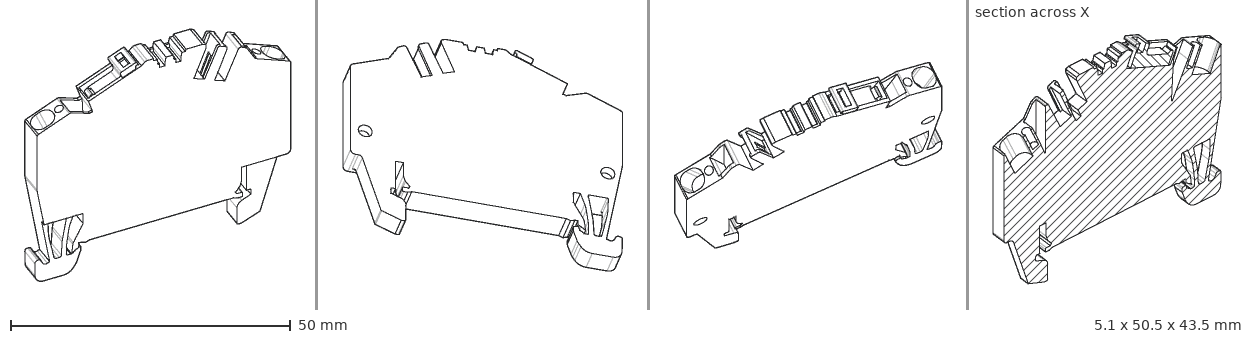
import cadquery as cq
import math

width = 5.1
foot_width = 4.15
half_length = 25.25
shelf_z = 13.3
base_z = 6.95
tooth_z = 42.75
comb_floor_z = 41.65
crown_z = 43.25
end_top_z = 33.55
end_chamfer_y = 25.0
end_chamfer_z = 33.85
corner = 0.25
clearance = 1.0


def rounded_outline(points):
    """Closed YZ outline from (y, z) corners; a third entry is the rounding radius of that corner."""
    sides = []
    count = len(points)
    for i, point in enumerate(points):
        here = cq.Vector(point[0], point[1])
        radius = point[2] if len(point) == 3 else 0
        if radius == 0:
            sides.append((here, here, here))
            continue
        before = cq.Vector(*points[i - 1][:2])
        after = cq.Vector(*points[(i + 1) % count][:2])
        to_before = (before - here).normalized()
        to_after = (after - here).normalized()
        half_angle = to_before.getAngle(to_after) / 2
        setback = radius / math.tan(half_angle)
        bisector = (to_before + to_after).normalized()
        middle = here + bisector * (radius / math.sin(half_angle) - radius)
        sides.append((here + to_before * setback, middle, here + to_after * setback))

    outline = cq.Workplane("YZ").moveTo(*sides[0][2].toTuple()[:2])
    for start, middle, end in sides[1:] + sides[:1]:
        outline = outline.lineTo(*start.toTuple()[:2])
        if (end - start).Length > 0:
            outline = outline.threePointArc(middle.toTuple()[:2], end.toTuple()[:2])
    return outline.close()


def plate(points, x_start, x_end):
    """Solid with the given YZ outline between two X positions."""
    return rounded_outline(points).extrude(x_end - x_start).translate((x_start, 0, 0))


deck_y = -4.5
deck_z = 42.4
deck_end_y = -15.05
deck_end_z = 37.95
deck_angle = math.atan2(deck_z - deck_end_z, deck_y - deck_end_y)


def on_deck(along, above, radius=0):
    """Outline corner at a distance down the deck and a height square to it."""
    y = deck_y - along * math.cos(deck_angle) - above * math.sin(deck_angle)
    z = deck_z - along * math.sin(deck_angle) + above * math.cos(deck_angle)
    return (y, z, radius)


tooth_edges = [(3.6, 3.35, 2.05, 1.8), (0.4, 0.2, -1.15, -1.3)]

front_leg_top_z = 21.2
front_leg_lean = 0.171


def front_leg(z):
    """Point on the leaning outer side of the front leg."""
    return (-half_length + front_leg_lean * (front_leg_top_z - z), z)


end_slope = [
    (half_length, end_top_z), (end_chamfer_y, end_chamfer_z),
    (18.2, 36.6), (16.45, 39.55, 0.75), (15.0, 40.3, 0.5),
]
marker_slots = [
    (12.1, 33.65), (10.1, 34.45),
    (12.75, 41.0, 0.5), (10.85, 41.8, 0.4),
    (8.1, 35.35), (5.95, 36.15),
    (8.4, 42.2), (8.4, 42.9), (7.7, crown_z),
]
comb = [(4.4, crown_z), (4.25, tooth_z)]
for top_left, floor_left, floor_right, top_right in tooth_edges:
    comb += [(top_left, tooth_z), (floor_left, comb_floor_z)]
    comb += [(floor_right, comb_floor_z), (top_right, tooth_z)]
comb += [(-2.05, tooth_z), (-2.05, crown_z), (-3.6, crown_z, 0.75)]
deck = [(deck_y, deck_z), (deck_end_y, deck_end_z)]
front_notch = [(-14.2, 35.4), (-14.85, 35.2), (-18.6, 36.55, 0.75)]
front_end = [
    (-end_chamfer_y, end_chamfer_z), (-half_length, end_top_z),
    (-half_length, front_leg_top_z, 2.5), front_leg(shelf_z),
]
front_hook = [
    (-16.1, shelf_z, corner), (-16.1, 11.05), (-18.15, 7.25, 1.0), (-18.4, 5.0),
    (-17.5, 5.7), (-16.95, 6.0), (-16.95, base_z), (-16.4, base_z), (-15.6, 6.65), (-14.8, base_z),
]
rear_hook = [
    (13.9, base_z), (14.65, 6.65), (15.65, 6.65, corner), (15.65, 7.7, corner),
    (14.5, 7.7), (14.25, 8.1), (15.15, 9.2, 0.75), (15.45, 10.3), (15.45, shelf_z),
]
rear_end = [(23.5, shelf_z), (half_length, shelf_z, 0.9)]

core_outline = (
    end_slope + marker_slots + comb + deck + front_notch + front_end + front_hook + rear_hook + rear_end
)
housing = plate(core_outline, 0, width)

overlap_z = shelf_z + 0.5

rear_foot = [
    (24.2, shelf_z), (23.25, shelf_z, 0.75), (19.6, 1.45, corner), (15.85, 0), (15.0, 0, corner),
    (15.0, 4.7, 1.5), (17.8, 5.85), (17.8, 7.0, corner), (16.85, 7.0), (16.85, shelf_z),
    (16.85, overlap_z), (24.2, overlap_z),
]
front_foot = [
    front_leg(overlap_z), front_leg(3.95), (-23.4, 3.45, 0.7), (-24.15, 5.0, 0.5),
    (-half_length, 5.0, 0.55), (-25.15, 0, 1.65), (-18.3, 0, 2.5), (-16.9, 2.0, 2.5),
    (-16.1, 4.45), (-16.1, 5.4, corner), (-17.05, 5.75, corner), (-17.25, 4.9),
    (-18.15, 4.25), (-18.95, 4.25, corner),
    (-18.95, 6.55, 9.1), (-18.45, 10.35, 6.05), (-17.4, shelf_z), (-17.4, overlap_z),
]
front_foot_window = [
    (-18.85, shelf_z, corner), (-22.6, shelf_z, corner), (-22.5, 9.85, 12.6),
    (-21.35, 4.25, 0.5), (-20.0, 4.25, 0.4), (-19.8, 7.85, 5.05),
]

housing = housing.union(plate(rear_foot, 0, foot_width))
housing = housing.union(plate(front_foot, 0, foot_width))
housing = housing.cut(plate(front_foot_window, 0, foot_width))

side_hole_diameter = 2.6
side_hole_depth = 1.65
side_hole_y = 22.5
side_hole_z = 19.05
side_holes = (
    cq.Workplane("YZ")
    .pushPoints([(side_hole_y, side_hole_z), (-side_hole_y, side_hole_z)])
    .circle(side_hole_diameter / 2)
    .extrude(side_hole_depth)
)
housing = housing.cut(side_holes)

wire_width = 4.15
wire_height = 4.55
wire_rounding = 1.85
wire_depth = 6.0
wire_y = 22.95
wire_z = 34.7
probe_diameter = 1.65
probe_depth = 4.55
probe_y = 19.65
probe_z = 36.0


def end_slope_plane(side, y, z):
    """Plane lying on the sloped shoulder at the end chosen by side (+1 or -1)."""
    normal = (0, side * math.sin(deck_angle), math.cos(deck_angle))
    return cq.Plane(origin=(width / 2, side * y, z), xDir=(1, 0, 0), normal=normal)


def wire_hole(side):
    """Blind rounded hole for a wire, square to the sloped shoulder."""
    mouth = cq.Workplane(end_slope_plane(side, wire_y, wire_z)).workplane(offset=clearance)
    outline = cq.Sketch().rect(wire_width, wire_height).vertices().fillet(wire_rounding)
    return mouth.placeSketch(outline).extrude(-(wire_depth + clearance))


def probe_hole(side):
    """Blind round hole for a test probe, square to the sloped shoulder."""
    mouth = cq.Workplane(end_slope_plane(side, probe_y, probe_z)).workplane(offset=clearance)
    return mouth.circle(probe_diameter / 2).extrude(-(probe_depth + clearance))


for side in (1, -1):
    housing = housing.cut(wire_hole(side)).cut(probe_hole(side))

funnel_x_start = 0.75
funnel_x_end = 4.6
front_funnel = [
    (deck_end_y, deck_end_z), (-14.2, 35.4), (-13.75, 26.25), (-17.45, 34.1), (-18.6, 36.55), (-18.6, deck_end_z),
]
rear_funnel = [(18.6, 41.4), (18.6, 36.45), (17.6, 34.35), (15.65, 29.3), (15.65, 41.4)]
for funnel in (front_funnel, rear_funnel):
    housing = housing.cut(plate(funnel, funnel_x_start, funnel_x_end))

blade_side = 0.6
blade_rear_recess = [(13.15, 40.9), (12.3, 41.2), (9.6, 34.65), (10.1, 34.45), (12.85, 40.9)]
blade_front_recess = [(11.7, 42.2), (8.25, 33.25), (7.35, 33.6), (8.1, 35.35), (10.85, 42.25)]
for recess in (blade_rear_recess, blade_front_recess):
    housing = housing.cut(plate(recess, blade_side, width - blade_side))

blade_groove = [(10.3, 38.6), (10.55, 38.5), (8.5, 33.15), (8.25, 33.25)]
groove_x_start = 2.0
groove_x_end = 3.1
housing = housing.cut(plate(blade_groove, groove_x_start, groove_x_end))

channel_x_start = 0.45
channel_depth = 0.75
channel_ledge = 0.3
for _, floor_left, floor_right, _ in tooth_edges:
    channel_right = floor_right + channel_ledge
    channel = [
        (floor_left, comb_floor_z), (channel_right, comb_floor_z),
        (channel_right, comb_floor_z - channel_depth), (floor_left, comb_floor_z - channel_depth),
    ]
    housing = housing.cut(plate(channel, channel_x_start, width))

pocket_x_start = 0.75
pocket_x_end = 4.35
pocket_start = 0.25
pocket_end = 11.15
pocket_depth = 3.55
pocket = [
    on_deck(pocket_start, clearance), on_deck(pocket_end, clearance),
    on_deck(pocket_end, -pocket_depth), on_deck(pocket_start, -pocket_depth),
]
housing = housing.cut(plate(pocket, pocket_x_start, pocket_x_end))

block_start = 1.1
block_end = 4.05
block_gap = 0.15
block_top = 1.45
lip_start = 0.4
arm_drop = 1.1
arm_end = 10.05
tab_x_start = 1.55
tab_x_end = 3.65
tab_start = 9.5
tab_crest = 10.0
tab_end = 10.8
tab_drop = 0.45
window_start = 1.5
window_end = 2.9
window_depth = 1.9

block = [
    on_deck(block_start, block_gap), on_deck(block_start - 0.15, 0.7), on_deck(lip_start, 0.8, 0.15),
    on_deck(lip_start, block_top, 0.3), on_deck(block_end, block_top, 0.3), on_deck(block_end, block_gap),
]
arm = [
    on_deck(block_start, block_gap), on_deck(block_start, -pocket_depth), on_deck(arm_end, -pocket_depth),
    on_deck(arm_end, -arm_drop, 0.6), on_deck(block_end, -arm_drop, 0.75), on_deck(block_end, block_gap),
]
tab = [
    on_deck(tab_start, -pocket_depth), on_deck(tab_start, -arm_drop), on_deck(tab_crest, -tab_drop),
    on_deck(tab_end, -tab_drop, 0.5), on_deck(tab_end, -pocket_depth),
]
window = [
    on_deck(window_start, block_top + clearance), on_deck(window_end, block_top + clearance),
    on_deck(window_end, block_top - window_depth), on_deck(window_start, block_top - window_depth),
]
lever = plate(block, 0, width)
lever = lever.union(plate(arm, pocket_x_start, pocket_x_end))
lever = lever.union(plate(tab, tab_x_start, tab_x_end))
lever = lever.cut(plate(window, pocket_x_start, pocket_x_end))

result = cq.Compound.makeCompound([housing.val(), lever.val()])